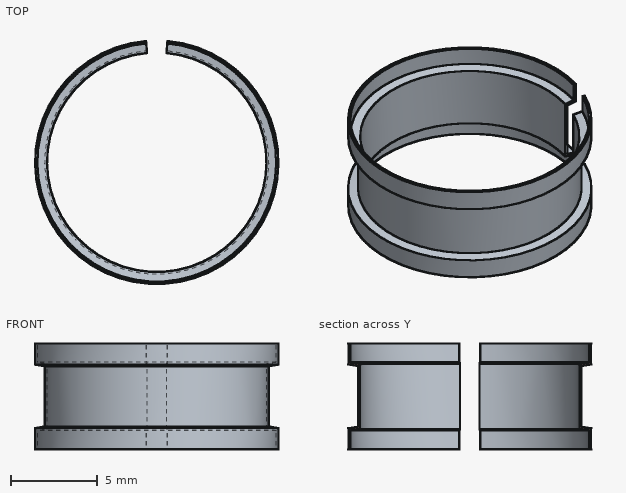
import cadquery as cq

outer_radius = 7.0
height = 6.1
wall = 0.14
neck_radius = 6.45
rim_height = 1.22
shoulder_drop = 0.1
gap_angle = 10.0

half_height = height / 2
rim_inner_radius = outer_radius - wall
neck_inner_radius = neck_radius - wall
rim_edge = half_height - rim_height
neck_edge = rim_edge - shoulder_drop


def ring_section():
    """Half section in the radius-height plane: a thin wall stepped in at the middle."""
    upper_outside = [
        (neck_radius, neck_edge),
        (outer_radius, rim_edge),
        (outer_radius, half_height),
    ]
    upper_inside = [
        (rim_inner_radius, half_height),
        (rim_inner_radius, rim_edge + wall),
        (neck_inner_radius, neck_edge + wall),
    ]
    upper = upper_outside + upper_inside
    lower = [(radius, -z) for radius, z in reversed(upper)]
    return cq.Workplane("XZ").polyline(upper + lower).close()

first_end_angle = 90 + gap_angle / 2
ring = ring_section().revolve(360 - gap_angle, (0, 0, 0), (0, 1, 0))
result = ring.rotate((0, 0, 0), (0, 0, 1), first_end_angle)